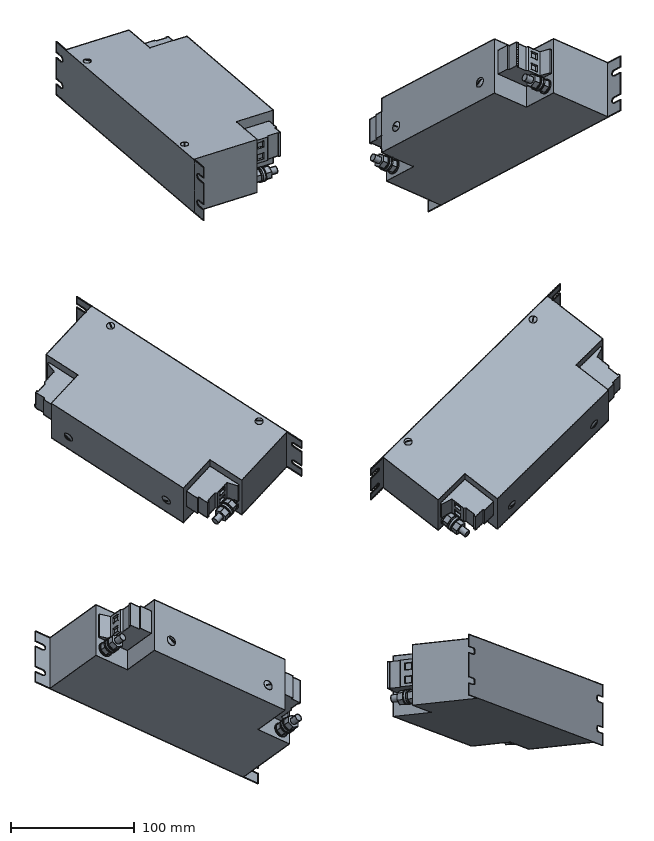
import cadquery as cq
import math


body_height = 50.0
body_width = 200.0
neck_width = 135.0
body_depth = 95.0
shoulder_y = 60.0

flange_width = 230.0
flange_thickness = 0.8
slot_width = 5.2
slot_length = 10.2
slot_edge_distance = 12.5

top_screw_diameter = 6.5
rear_screw_diameter = 8.4
screw_head_height = 1.37
screw_groove_width = 0.6
screw_groove_depth = 0.6
screw_groove_angle = 32.0
top_screw_x = 75.9
top_screw_y = 6.0
rear_screw_x = 50.0
rear_screw_z = 17.0

block_bottom_z = 19.0
block_top_z = 41.0
block_foot_x = 97.4
block_foot_y = 61.5
block_face_x = 88.3
block_face_bottom_y = 64.3
block_face_top_y = 77.0
block_upper_x = 86.8
block_upper_y = 78.3
lip_x = 87.8
lip_bottom_y = 87.5
lip_top_y = 89.5
block_crown_x = 78.7
block_crown_y = 91.0
window_length = 6.3
window_height = 5.7
window_depth = 2.0
window_y = 70.3
window_z_positions = (24.4, 35.4)

stud_x = 90.8
stud_z = 9.4
stud_diameter = 6.0
stud_end_y = 83.2
nut_across_flats = 10.0
nut_end_y = 76.3
washer_diameter = 12.2
spring_washer_diameter = 12.0
base_washer_end_y = 61.2
lower_washer_start_y = 66.6
lower_washer_end_y = 68.0
upper_washer_start_y = 70.1
upper_washer_end_y = 70.9


def make_housing():
    """T-shaped box: a wide front part and a narrower rear part."""
    front = cq.Workplane("XY").box(body_width, shoulder_y, body_height, centered=(True, False, False))
    rear = cq.Workplane("XY").box(neck_width, body_depth, body_height, centered=(True, False, False))
    return front.union(rear)


def make_flange():
    """Thin front plate with two open-ended slots at each end."""
    flange = cq.Workplane("XY").box(
        flange_width, flange_thickness, body_height, centered=(True, False, False)
    )
    slot_centres = [
        (side * flange_width / 2, z)
        for side in (-1, 1)
        for z in (slot_edge_distance, body_height - slot_edge_distance)
    ]
    slots = (
        cq.Workplane("XZ")
        .pushPoints(slot_centres)
        .slot2D(2 * slot_length, slot_width)
        .extrude(-flange_thickness)
    )
    return flange.cut(slots)


def make_screw_head(diameter, groove_angle):
    """Spherical-cap head on the XY plane with a straight driver groove."""
    radius = diameter / 2
    sphere_radius = (radius**2 + screw_head_height**2) / (2 * screw_head_height)
    half_angle = math.asin(radius / sphere_radius) / 2
    arc_middle = (
        sphere_radius * math.sin(half_angle),
        screw_head_height - sphere_radius * (1 - math.cos(half_angle)),
    )
    head = (
        cq.Workplane("XZ")
        .lineTo(radius, 0)
        .threePointArc(arc_middle, (0, screw_head_height))
        .close()
        .revolve(360, (0, 0, 0), (0, 1, 0))
    )
    groove = (
        cq.Workplane("XY")
        .workplane(offset=screw_head_height - screw_groove_depth)
        .rect(diameter, screw_groove_width)
        .extrude(screw_groove_depth)
        .rotate((0, 0, 0), (0, 0, 1), groove_angle)
    )
    return head.cut(groove)


def make_top_screw():
    head = make_screw_head(top_screw_diameter, screw_groove_angle)
    return head.translate((-top_screw_x, top_screw_y, body_height))


def make_rear_screw():
    head = make_screw_head(rear_screw_diameter, screw_groove_angle).rotate((0, 0, 0), (1, 0, 0), -90)
    return head.translate((-rear_screw_x, body_depth, rear_screw_z))


def make_terminal_block():
    """Stepped block in the left corner, with two wire entry windows in its side face."""
    block = (
        cq.Workplane("XY")
        .workplane(offset=block_bottom_z)
        .polyline(
            [
                (-neck_width / 2, shoulder_y),
                (-block_foot_x, shoulder_y),
                (-block_foot_x, block_foot_y),
                (-block_face_x, block_face_bottom_y),
                (-block_face_x, block_face_top_y),
                (-block_upper_x, block_upper_y),
                (-block_upper_x, lip_bottom_y),
                (-lip_x, lip_bottom_y),
                (-lip_x, lip_top_y),
                (-block_crown_x, lip_top_y),
                (-block_crown_x, block_crown_y),
                (-neck_width / 2, block_crown_y),
            ]
        )
        .close()
        .extrude(block_top_z - block_bottom_z)
    )
    for z in window_z_positions:
        window = cq.Workplane("XY").box(
            window_depth, window_length, window_height, centered=(False, True, True)
        )
        block = block.cut(window.translate((-block_face_x, window_y, z)))
    return block


def stud_plane(start_y):
    """Workplane on the stud axis at start_y; a negative extrusion runs rearwards."""
    return cq.Workplane("XZ", origin=(-stud_x, start_y, stud_z))


def make_stud_disc(diameter, start_y, end_y):
    return stud_plane(start_y).circle(diameter / 2).extrude(start_y - end_y)


def make_earth_stud():
    """Threaded stud with hexagon nuts clamping a stack of washers."""
    nut_across_corners = nut_across_flats / math.cos(math.pi / 6)
    stud = (
        stud_plane(shoulder_y)
        .transformed(rotate=(0, 0, 90))
        .polygon(6, nut_across_corners)
        .extrude(shoulder_y - nut_end_y)
    )
    discs = [
        (stud_diameter, shoulder_y, stud_end_y),
        (washer_diameter, shoulder_y, base_washer_end_y),
        (washer_diameter, lower_washer_start_y, lower_washer_end_y),
        (spring_washer_diameter, lower_washer_end_y, upper_washer_start_y),
        (washer_diameter, upper_washer_start_y, upper_washer_end_y),
    ]
    for diameter, start_y, end_y in discs:
        stud = stud.union(make_stud_disc(diameter, start_y, end_y))
    return stud


result = make_housing().union(make_flange())
for fitting in (make_top_screw(), make_rear_screw(), make_terminal_block(), make_earth_stud()):
    result = result.union(fitting).union(fitting.mirror("YZ"))